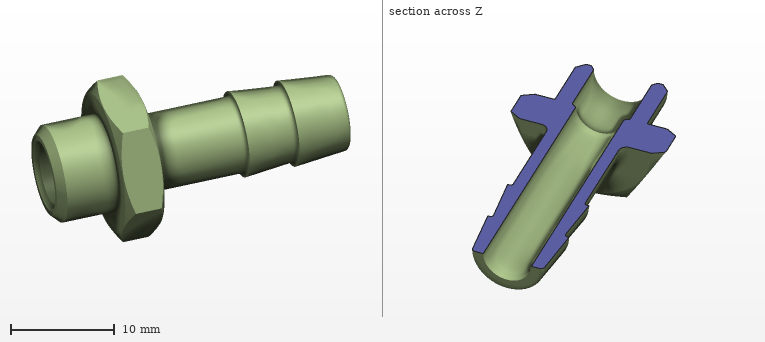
import cadquery as cq
import math

length = 30.0

thread_radius = 4.83
thread_length = 6.0
thread_chamfer = 0.8

hex_across_flats = 14.0
hex_width = 4.0
hex_face_radius = 6.9
hex_chamfer_angle = 30.0

stem_radius = 3.78
stem_fillet = 0.8
barb_radius = 4.25
barb_pitch = 5.07
barb_count = 2
first_barb_edge = 19.47
barb_fillet = 0.25
tip_fillet = 0.45

bore_radius = 2.5
mouth_radius = 3.48
mouth_chamfer = 0.48
counterbore_radius = mouth_radius - mouth_chamfer
counterbore_depth = thread_length
drill_point_angle = 118.0

hex_end = thread_length + hex_width
hex_corner_radius = hex_across_flats / math.sqrt(3)

quarter_arc_inset = 1 - math.sqrt(0.5)


def revolve_about_y(profile):
    return profile.close().revolve(360, (0, 0, 0), (0, 1, 0))


def make_hexagon():
    """Hexagon with flats facing +Z and -Z and conically chamfered corners."""
    prism = (
        cq.Workplane("XZ", origin=(0, hex_end, 0))
        .polygon(6, 2 * hex_corner_radius)
        .extrude(hex_width)
    )
    chamfer_drop = (hex_corner_radius - hex_face_radius) * math.tan(math.radians(hex_chamfer_angle))
    envelope = revolve_about_y(
        cq.Workplane("XY")
        .moveTo(0, thread_length)
        .lineTo(hex_face_radius, thread_length)
        .lineTo(hex_corner_radius, thread_length + chamfer_drop)
        .lineTo(hex_corner_radius, hex_end - chamfer_drop)
        .lineTo(hex_face_radius, hex_end)
        .lineTo(0, hex_end)
    )
    return prism.intersect(envelope)


def make_thread_end():
    """Plain cylinder for the thread, chamfered at its open end."""
    return revolve_about_y(
        cq.Workplane("XY")
        .lineTo(thread_radius - thread_chamfer, 0)
        .lineTo(thread_radius, thread_chamfer)
        .lineTo(thread_radius, thread_length)
        .lineTo(0, thread_length)
    )


def make_hose_stem():
    """Stem with a concave root fillet and barbs that taper towards the hose end."""
    profile = cq.Workplane("XY").moveTo(0, hex_end)
    root_inset = stem_fillet * quarter_arc_inset
    profile = profile.lineTo(stem_radius + stem_fillet, hex_end).threePointArc(
        (stem_radius + root_inset, hex_end + root_inset),
        (stem_radius, hex_end + stem_fillet),
    )
    for index in range(barb_count):
        edge = first_barb_edge + index * barb_pitch
        profile = profile.lineTo(stem_radius, edge - barb_fillet)
        barb_inset = barb_fillet * quarter_arc_inset
        profile = profile.threePointArc(
            (stem_radius + barb_inset, edge - barb_inset),
            (stem_radius + barb_fillet, edge),
        )
        profile = profile.lineTo(barb_radius, edge)
    profile = profile.lineTo(stem_radius, length - tip_fillet)
    tip_inset = tip_fillet * quarter_arc_inset
    profile = profile.threePointArc(
        (stem_radius - tip_inset, length - tip_inset),
        (stem_radius - tip_fillet, length),
    )
    return revolve_about_y(profile.lineTo(0, length))


def make_bore():
    """Through bore with a wider mouth at the threaded end, chamfered outside and conical at its bottom."""
    cone_depth = (counterbore_radius - bore_radius) / math.tan(math.radians(drill_point_angle / 2))
    return revolve_about_y(
        cq.Workplane("XY")
        .lineTo(mouth_radius, 0)
        .lineTo(counterbore_radius, mouth_chamfer)
        .lineTo(counterbore_radius, counterbore_depth)
        .lineTo(bore_radius, counterbore_depth + cone_depth)
        .lineTo(bore_radius, length)
        .lineTo(0, length)
    )


result = make_hexagon().union(make_thread_end()).union(make_hose_stem()).cut(make_bore())